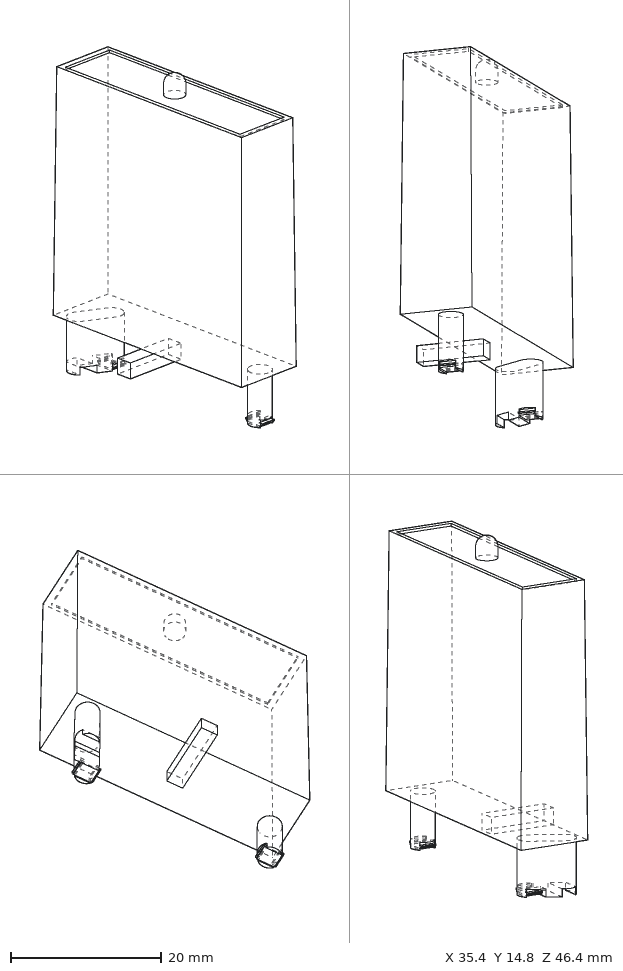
import cadquery as cq
import math

base_length = 35.4
base_width = 10.35
draft_inset = 0.32
housing_height = 35.9

recess_length = 32.8
recess_width = 8.35
recess_depth = 0.35

lamp_radius = 1.5
lamp_top = 38.65

bar_width = 2.4
bar_height = 2.3
bar_reach = 9.6

pin_radius = 1.65
pin_length = 7.75
left_front = (-14.95, -3.1)
left_back = (-12.85, 1.0)
right_center = (15.0, 1.0)

slot_depth = 1.1
front_slot_width = 2.1
back_slot_width = 2.27

latch_tiers = [
    (0.97, 0, 0.45),
    (1.6, 0.45, 0.65),
    (1.4, 0.65, 0.9),
]


def drafted_housing():
    return (
        cq.Workplane("XY")
        .rect(base_length, base_width)
        .workplane(offset=housing_height)
        .rect(base_length - 2 * draft_inset, base_width - 2 * draft_inset)
        .loft(ruled=True)
    )


def top_recess():
    return (
        cq.Workplane("XY", origin=(0, 0, housing_height - recess_depth))
        .rect(recess_length, recess_width)
        .extrude(recess_depth)
    )


def lamp():
    floor = housing_height - recess_depth
    dome_start = lamp_top - lamp_radius
    stem = cq.Workplane("XY", origin=(0, 0, floor)).circle(lamp_radius).extrude(dome_start - floor)
    dome = cq.Workplane("XY", origin=(0, 0, dome_start)).sphere(lamp_radius)
    return stem.union(dome)


def side_bar():
    bar = cq.Workplane("XY").box(bar_width, bar_reach, bar_height)
    return bar.translate((0, -bar_reach / 2, -bar_height / 2))


def round_pin(center):
    return cq.Workplane("XY").center(*center).circle(pin_radius).extrude(-pin_length)


def oblong_pin(start, end):
    run_x = end[0] - start[0]
    run_y = end[1] - start[1]
    distance = math.hypot(run_x, run_y)
    angle = math.degrees(math.atan2(run_y, run_x))
    middle = ((start[0] + end[0]) / 2, (start[1] + end[1]) / 2)
    return (
        cq.Workplane("XY")
        .center(*middle)
        .slot2D(distance + 2 * pin_radius, 2 * pin_radius, angle)
        .extrude(-pin_length)
    )


def cross_block(center, half_length, width, top, bottom):
    """Block across a pin tip; top and bottom are measured down from the slot roof."""
    roof = slot_depth - pin_length
    height = bottom - top
    return cq.Workplane("XY").box(2 * half_length, width, height).translate(
        (center[0], center[1], roof - top - height / 2)
    )


def tip_slot(center, width):
    return cross_block(center, 4 * pin_radius, width, 0, slot_depth)


def latch(center):
    tiers = cq.Workplane("XY")
    for half_length, top, bottom in latch_tiers:
        tiers = tiers.add(cross_block(center, half_length, back_slot_width, top, bottom))
    return tiers.combine()


left_pin = oblong_pin(left_front, left_back).cut(tip_slot(left_front, front_slot_width))
right_pin = round_pin(right_center)

result = drafted_housing().cut(top_recess()).union(lamp()).union(side_bar())
for pin, latch_center in ((left_pin, left_back), (right_pin, right_center)):
    result = result.union(pin.cut(tip_slot(latch_center, back_slot_width)).union(latch(latch_center)))